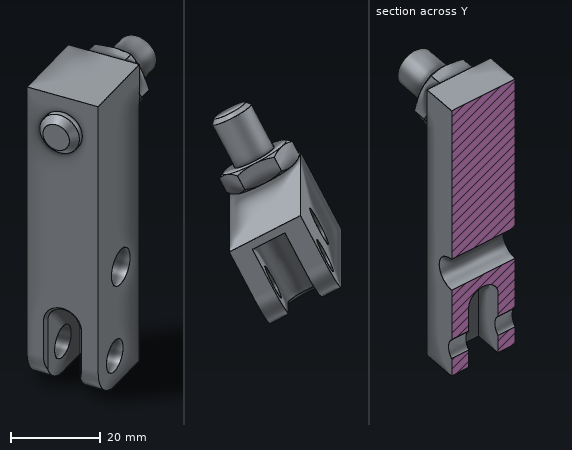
import cadquery as cq
import math

block_width = 18.0
block_depth = 19.9
block_height = 78.5

link_hole_diameter = 9.0
link_hole_y = block_depth - 9.0
link_hole_z = 30.0
fork_hole_diameter = 8.0
nose_radius = 8.0

slot_width = 8.2
slot_arch_z = 17.7
slot_depth = 18.05
slot_chamfer = 0.7

stud_radius = 10.0 / 2
stud_z = block_height - 9.0
stud_front_length = 3.1
stud_front_chamfer = 1.65
stud_back_length = 12.0
stud_back_chamfer = 1.0
nut_flats = 16.0
nut_corners = nut_flats / math.cos(math.radians(30))
nut_thickness = 5.0
nut_chamfer_angle = math.radians(30)


def plane_at(y, z=0):
    """Plane facing +Y, with its local Y axis along +Z."""
    return cq.Plane(origin=(0, y, z), xDir=(-1, 0, 0), normal=(0, 1, 0))


def make_block():
    block = cq.Workplane("XY").box(
        block_width, block_depth, block_height, centered=(True, False, False)
    )
    return block.edges("|X and <Y and <Z").fillet(nose_radius)


def cross_hole(diameter, y, z):
    return (
        cq.Workplane("YZ")
        .center(y, z)
        .circle(diameter / 2)
        .extrude(block_width, both=True)
    )


def make_slot():
    """Arch-topped slot, open at the bottom and the front, closed at the back."""
    half_width = slot_width / 2
    return (
        cq.Workplane(plane_at(0))
        .moveTo(-half_width, -block_height)
        .lineTo(-half_width, slot_arch_z)
        .threePointArc((0, slot_arch_z + half_width), (half_width, slot_arch_z))
        .lineTo(half_width, -block_height)
        .close()
        .extrude(slot_depth)
    )


def make_slot_mouth():
    """Bevelled opening that narrows from the front face to the slot width."""
    outer = slot_width / 2 + slot_chamfer
    straight = (
        cq.Workplane("XY")
        .polyline([
            (-outer, 0),
            (outer, 0),
            (slot_width / 2, slot_chamfer),
            (-slot_width / 2, slot_chamfer),
        ])
        .close()
        .extrude(slot_arch_z)
    )
    arch = (
        cq.Workplane("XY")
        .polyline([(0, 0), (outer, 0), (slot_width / 2, slot_chamfer), (0, slot_chamfer)])
        .close()
        .revolve(360, (0, 0, 0), (0, 1, 0))
        .translate((0, 0, slot_arch_z))
    )
    return straight.union(arch)


def make_stud():
    length = stud_front_length + block_depth + nut_thickness + stud_back_length
    return (
        cq.Workplane(plane_at(-stud_front_length, stud_z))
        .circle(stud_radius)
        .extrude(length)
        .faces("<Y")
        .chamfer(stud_front_chamfer)
        .faces(">Y")
        .chamfer(stud_back_chamfer)
    )


def make_nut():
    """Hexagon with corners on X, trimmed by a cone at each end."""
    flat_radius = nut_flats / 2
    corner_radius = nut_corners / 2
    bevel = (corner_radius - flat_radius) * math.tan(nut_chamfer_angle)
    hexagon = (
        cq.Workplane(plane_at(block_depth, stud_z))
        .polygon(6, nut_corners)
        .extrude(nut_thickness)
    )
    envelope = (
        cq.Workplane("XY")
        .polyline([
            (0, 0),
            (flat_radius, 0),
            (corner_radius, bevel),
            (corner_radius, nut_thickness - bevel),
            (flat_radius, nut_thickness),
            (0, nut_thickness),
        ])
        .close()
        .revolve(360, (0, 0, 0), (0, 1, 0))
        .translate((0, block_depth, stud_z))
    )
    return hexagon.intersect(envelope)


result = (
    make_block()
    .cut(make_slot())
    .cut(make_slot_mouth())
    .cut(cross_hole(link_hole_diameter, link_hole_y, link_hole_z))
    .cut(cross_hole(fork_hole_diameter, nose_radius, nose_radius))
    .union(make_stud())
    .union(make_nut())
)